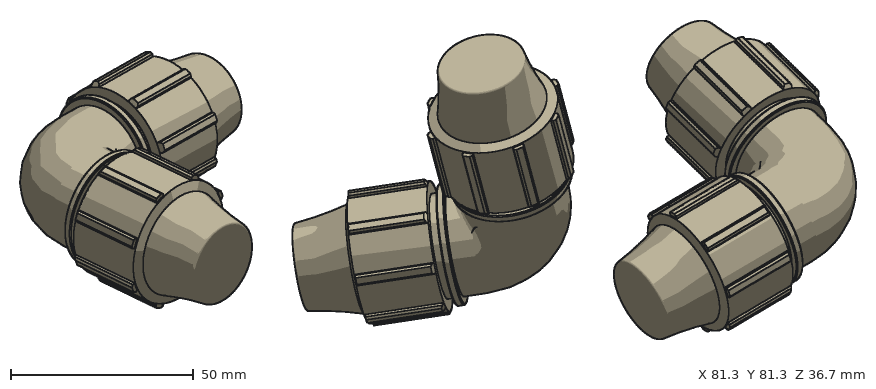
import cadquery as cq
import math

overall_length = 81.35
overall_height = 36.7

pipe_radius = 14.65
bend_radius = 12.85
crotch_fillet = 2.2
crotch_offset = 1.55

collar_radius = 33.9 / 2
collar_start = 19.5
collar_width = 2.3
collar_chamfer = 0.3

nut_radius = 18.15
nut_start = 24.1
nut_length = 22.3
shoulder_length = 1.0

nose_base_radius = 15.3
nose_tip_radius = 12.3
nose_sag = 0.3
tip_rounding = 0.7

rib_count = 8
rib_width = 3.1
rib_top_width = 1.95
rib_bevel_depth = 0.65
rib_lead_in = 0.9
rib_setback = 0.3

joint_overlap = 0.8

arm_length = overall_length - overall_height / 2
nut_end = nut_start + nut_length
nose_start = nut_end + shoulder_length
tip_start = arm_length - tip_rounding

rib_pitch = 360.0 / rib_count
first_rib_angle = rib_pitch / 2
rib_tilt = math.radians(first_rib_angle)
rib_outer = (overall_height / 2 - rib_top_width / 2 * math.sin(rib_tilt)) / math.cos(rib_tilt)
rib_root = nut_radius - joint_overlap


def make_nut_and_nose():
    """Nut, shoulder and concave nose, revolved about the X axis."""
    nose_middle = ((nose_start + tip_start) / 2, (nose_base_radius + nose_tip_radius) / 2 - nose_sag)
    rim_center_radius = nose_tip_radius - tip_rounding
    rim_middle_offset = tip_rounding * math.sqrt(0.5)
    rim_middle = (tip_start + rim_middle_offset, rim_center_radius + rim_middle_offset)
    return (
        cq.Workplane("XY")
        .moveTo(nut_start, 0)
        .lineTo(nut_start, nut_radius)
        .lineTo(nut_end, nut_radius)
        .lineTo(nose_start, nose_base_radius)
        .threePointArc(nose_middle, (tip_start, nose_tip_radius))
        .threePointArc(rim_middle, (arm_length, rim_center_radius))
        .lineTo(arm_length, 0)
        .close()
        .revolve(360, (0, 0, 0), (1, 0, 0))
    )


def make_rib():
    """One bevelled grip rib along X, standing in the +Z direction."""
    rib_end = nut_end - rib_setback
    section_right = [
        (rib_width / 2, rib_root),
        (rib_width / 2, rib_outer - rib_bevel_depth),
        (rib_top_width / 2, rib_outer),
    ]
    section_left = [(-across, height) for across, height in reversed(section_right)]
    bar = (
        cq.Workplane("YZ", origin=(nut_start, 0, 0))
        .polyline(section_right + section_left)
        .close()
        .extrude(rib_end - nut_start)
    )

    lead_in_cut = (
        cq.Workplane("XZ")
        .polyline([
            (nut_start, nut_radius),
            (nut_start + rib_lead_in, rib_outer),
            (nut_start, rib_outer),
        ])
        .close()
        .extrude(rib_width, both=True)
    )
    return bar.cut(lead_in_cut)


def make_arm_fittings():
    """Everything that sits on one pipe arm, built along +X."""
    collar = (
        cq.Workplane("YZ", origin=(collar_start, 0, 0))
        .circle(collar_radius)
        .extrude(collar_width)
        .edges()
        .chamfer(collar_chamfer)
    )
    fittings = make_nut_and_nose().union(collar)
    rib = make_rib()
    for index in range(rib_count):
        angle = first_rib_angle + index * rib_pitch
        fittings = fittings.union(rib.rotate((0, 0, 0), (1, 0, 0), angle))
    return fittings


def make_pipe(start):
    """Solid pipe along +X from the given position into the nut."""
    pipe_end = nut_start + joint_overlap
    return cq.Workplane("YZ", origin=(start, 0, 0)).circle(pipe_radius).extrude(pipe_end - start)


def swap_arms(body):
    """Mirror an X arm across the X = Y plane to give the Y arm."""
    return body.mirror("XZ").rotate((0, 0, 0), (0, 0, 1), 90)


def make_bend():
    """Quarter bend; the pipe section is cut off at the bend axis it would cross."""
    half_chord = math.sqrt(pipe_radius**2 - bend_radius**2)
    return (
        cq.Workplane("YZ", origin=(bend_radius, 0, 0))
        .moveTo(bend_radius, -half_chord)
        .threePointArc((-pipe_radius, 0), (bend_radius, half_chord))
        .close()
        .revolve(90, (bend_radius, 0, 0), (bend_radius, -1, 0))
    )


def make_crotch():
    """Inner corner of the bend: two full pipes crossing, rounded along their meeting edge."""
    pipe = make_pipe(0)
    crossing = pipe.union(swap_arms(pipe))
    inner_edges = [
        edge for edge in crossing.edges("%ELLIPSE").vals()
        if edge.BoundingBox().xmax > pipe_radius / 2
    ]
    rounded = crossing.newObject(inner_edges).fillet(crotch_fillet)

    cut_distance = math.sqrt(2) * (bend_radius - crotch_offset / 2)
    keeper_size = 2 * overall_length
    keeper = (
        cq.Workplane("XY")
        .box(keeper_size, keeper_size, keeper_size)
        .translate((cut_distance + keeper_size / 2, 0, 0))
        .rotate((0, 0, 0), (0, 0, 1), 45)
    )
    return rounded.intersect(keeper)


straight_pipe = make_pipe(bend_radius)
x_fittings = make_arm_fittings()

result = (
    make_bend()
    .union(straight_pipe)
    .union(swap_arms(straight_pipe))
    .union(make_crotch())
    .union(x_fittings)
    .union(swap_arms(x_fittings))
)